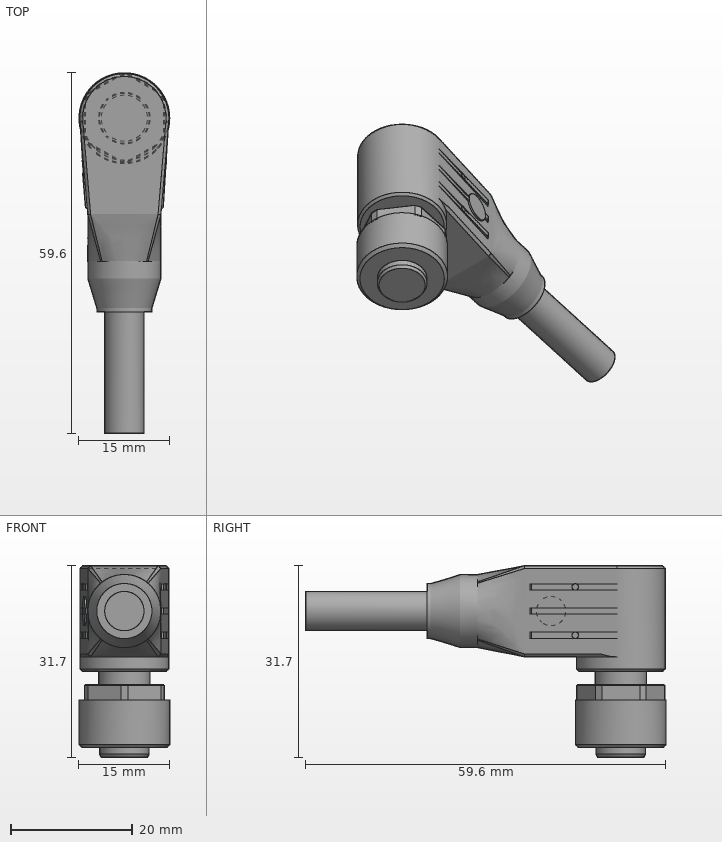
import cadquery as cq
import math


housing_dia = 14.7
housing_top = 7.5
housing_bottom = -7.55
collar_bottom = -9.95
housing_edge_chamfer = 0.5
collar_chamfer = 0.4
tail_y = -15.9

outlet_dia = 12.1
outlet_start_y = -23.65
outlet_end_y = -26.5
lip_dia = 9.1
lip_start_y = -31.4
lip_end_y = -32.0
cable_dia = 6.5
cable_end_y = -52.1
corner_arc = 3.0

neck_dia = 8.5
hex_top = -12.15
hex_across_flats = 13.25
hex_across_corners = 14.6
hex_top_chamfer = 0.2
nut_dia = 15.0
nut_top = -14.65
nut_bottom = -22.6
nut_chamfer = 0.55
insert_dia = 8.2
insert_bottom = -24.2
insert_chamfer_width = 0.3
insert_chamfer_height = 0.55

rib_width = 1.0
rib_pitch = 4.0
rib_end_y = -15.0
rib_end_height = 0.3
pin_dia = 1.1
pin_y = -7.5
pin_height = 0.2
disc_dia = 4.8
disc_y = -11.5
disc_height = 0.3
mark_root = 0.3

housing_radius = housing_dia / 2
outlet_radius = outlet_dia / 2
tail_half_width = outlet_radius

tail_reach = math.hypot(tail_half_width, tail_y)
taper = math.atan2(-tail_y, tail_half_width) - math.acos(housing_radius / tail_reach)
tangent_x = housing_radius * math.cos(taper)
tangent_y = -housing_radius * math.sin(taper)


def disk(diameter, z_from, z_to):
    return cq.Workplane("XY").workplane(offset=z_from).circle(diameter / 2).extrude(z_to - z_from)


def side_x(y):
    """Half width of the tapered housing at a given Y."""
    return tangent_x - (tangent_y - y) * math.tan(taper)


def make_housing():
    barrel = (
        disk(housing_dia, collar_bottom, housing_top)
        .faces(">Z")
        .chamfer(housing_edge_chamfer)
        .faces("<Z")
        .chamfer(collar_chamfer)
    )
    tail_block = (
        cq.Workplane("XY")
        .workplane(offset=housing_bottom)
        .polyline([
            (-tail_half_width, tail_y),
            (-tangent_x, tangent_y),
            (tangent_x, tangent_y),
            (tail_half_width, tail_y),
        ])
        .close()
        .extrude(housing_top - housing_bottom)
    )
    tail = tail_block.faces("<Z or >Z").edges("not(#Y)").chamfer(housing_edge_chamfer)

    flare = cq.Workplane(
        cq.Solid.makeCone(
            housing_radius,
            housing_radius + housing_edge_chamfer,
            housing_edge_chamfer,
            cq.Vector(0, 0, housing_bottom),
        )
    )
    return barrel.union(tail).union(flare.intersect(tail_block))


def tail_wire():
    """Bevelled rectangle at the end of the housing, as eight corner points in order."""
    x = tail_half_width
    inner_x = x - housing_edge_chamfer
    upper = housing_top
    lower = housing_bottom
    upper_inner = upper - housing_edge_chamfer
    lower_inner = lower + housing_edge_chamfer
    corners = [
        (x, upper_inner), (inner_x, upper), (-inner_x, upper), (-x, upper_inner),
        (-x, lower_inner), (-inner_x, lower), (inner_x, lower), (x, lower_inner),
    ]
    return cq.Wire.makePolygon([cq.Vector(px, tail_y, pz) for px, pz in corners], close=True)


def outlet_wire():
    """Outlet circle split into eight arcs that pair with the sides of the bevelled rectangle."""
    diagonal = math.degrees(math.atan2(housing_top, tail_half_width))
    splits = []
    for centre in (diagonal, 180 - diagonal, 180 + diagonal, 360 - diagonal):
        splits += [centre - corner_arc / 2, centre + corner_arc / 2]

    def on_circle(degrees):
        angle = math.radians(degrees)
        return cq.Vector(outlet_radius * math.cos(angle), outlet_start_y, outlet_radius * math.sin(angle))

    arcs = []
    for start, end in zip(splits, splits[1:] + [splits[0] + 360]):
        middle = (start + end) / 2
        arcs.append(cq.Edge.makeThreePointArc(on_circle(start), on_circle(middle), on_circle(end)))
    return cq.Wire.assembleEdges(arcs)


def make_outlet():
    transition = cq.Solid.makeLoft([tail_wire(), outlet_wire()], True)
    sleeve = (
        cq.Workplane("XY")
        .moveTo(0, outlet_start_y)
        .lineTo(outlet_radius, outlet_start_y)
        .lineTo(outlet_radius, outlet_end_y)
        .lineTo(lip_dia / 2, lip_start_y)
        .lineTo(lip_dia / 2, lip_end_y)
        .lineTo(cable_dia / 2, lip_end_y)
        .lineTo(cable_dia / 2, cable_end_y)
        .lineTo(0, cable_end_y)
        .close()
        .revolve(360, (0, 0, 0), (0, 1, 0))
    )
    return sleeve.union(cq.Workplane(transition))


def hex_prism(across_flats):
    """Hexagonal prism at the height of the nut's grip, with two flats facing +X and -X."""
    return (
        cq.Workplane("XY")
        .workplane(offset=nut_top)
        .polygon(6, across_flats, circumscribed=True)
        .extrude(hex_top - nut_top)
    )


def make_coupling():
    neck = disk(neck_dia, nut_top, collar_bottom)

    corner_cutter = hex_prism(hex_across_corners).rotate((0, 0, 0), (0, 0, 1), 30)
    hexagon = (
        hex_prism(hex_across_flats)
        .intersect(corner_cutter)
        .faces(">Z")
        .chamfer(hex_top_chamfer)
    )

    nut = disk(nut_dia, nut_bottom, nut_top).faces("<Z").chamfer(nut_chamfer)
    insert = (
        disk(insert_dia, insert_bottom, nut_bottom)
        .faces("<Z")
        .edges()
        .chamfer(insert_chamfer_height, insert_chamfer_width)
    )
    return neck.union(hexagon).union(nut).union(insert)


def make_rib(z):
    """Wedge on the -X side: flush at the round end, rising towards the cable, with a sloped end."""
    end_x = side_x(rib_end_y)
    crest_y = rib_end_y + rib_end_height
    return (
        cq.Workplane("XY")
        .workplane(offset=z - rib_width / 2)
        .polyline([
            (-tangent_x, tangent_y),
            (-side_x(crest_y) - rib_end_height, crest_y),
            (-end_x, rib_end_y),
            (-end_x + mark_root, rib_end_y),
            (-tangent_x + mark_root, tangent_y),
        ])
        .close()
        .extrude(rib_width)
    )


def make_button(diameter, y, z, height):
    """Flat round button standing square on the -X side face."""
    outward = cq.Vector(-math.cos(taper), -math.sin(taper), 0)
    base = cq.Vector(-side_x(y), y, z) - outward * mark_root
    return cq.Workplane(cq.Solid.makeCylinder(diameter / 2, height + mark_root, base, outward))


def make_side_marks():
    marks = make_rib(0)
    for z in (-rib_pitch, rib_pitch):
        marks = marks.union(make_rib(z)).union(make_button(pin_dia, pin_y, z, pin_height))
    return marks


side_marks = make_side_marks()
result = (
    make_housing()
    .union(make_outlet())
    .union(make_coupling())
    .union(side_marks)
    .union(side_marks.mirror("YZ"))
    .union(make_button(disc_dia, disc_y, 0, disc_height))
)